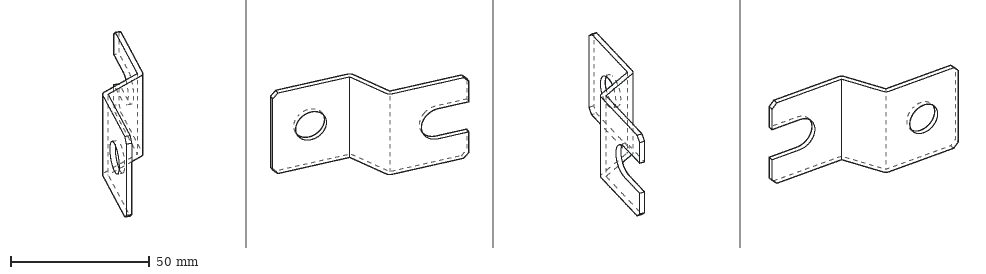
import cadquery as cq
import math

length = 70.0
depth = 18.0
height = 35.0
thickness = 2.0
corner_chamfer = 2.0
rear_bend_x = 30.0
front_bend_x = length - rear_bend_x
hole_diameter = 12.0
hole_x = 55.0
slot_width = 13.0
slot_end_x = 12.0
mid_z = height / 2

rear_corner = (rear_bend_x, depth - thickness)
front_corner = (front_bend_x, thickness)

run = front_corner[0] - rear_corner[0]
drop = rear_corner[1] - front_corner[1]
web_angle = math.atan2(drop, run) + math.asin(thickness / math.hypot(run, drop))


def on_bend(corner, angle):
    """Point one thickness from a bend corner, at an angle from +X."""
    return (corner[0] + thickness * math.cos(angle), corner[1] + thickness * math.sin(angle))


def folded_strip():
    """Z-shaped sheet section in XY, extruded over the full height."""
    flange_normal = math.pi / 2
    web_normal = flange_normal - web_angle
    middle_normal = (flange_normal + web_normal) / 2
    return (
        cq.Workplane("XY")
        .moveTo(0, depth)
        .lineTo(rear_bend_x, depth)
        .threePointArc(on_bend(rear_corner, middle_normal), on_bend(rear_corner, web_normal))
        .lineTo(*front_corner)
        .lineTo(length, thickness)
        .lineTo(length, 0)
        .lineTo(front_bend_x, 0)
        .threePointArc(
            on_bend(front_corner, middle_normal + math.pi),
            on_bend(front_corner, web_normal + math.pi),
        )
        .lineTo(*rear_corner)
        .lineTo(0, depth - thickness)
        .close()
        .extrude(height)
    )


def through_y(sketch):
    """Extrude an XZ sketch through the full depth of the part."""
    return sketch.extrude(-depth)


def round_hole():
    return through_y(cq.Workplane("XZ").center(hole_x, mid_z).circle(hole_diameter / 2))


def open_slot():
    """Slot open at the left end, with a semicircular inner end."""
    radius = slot_width / 2
    return through_y(
        cq.Workplane("XZ")
        .moveTo(0, mid_z - radius)
        .lineTo(slot_end_x, mid_z - radius)
        .threePointArc((slot_end_x + radius, mid_z), (slot_end_x, mid_z + radius))
        .lineTo(0, mid_z + radius)
        .close()
    )


strip = folded_strip()
for end_face in ("<X", ">X"):
    strip = strip.faces(end_face).edges("|Y").chamfer(corner_chamfer)
result = strip.cut(round_hole()).cut(open_slot())